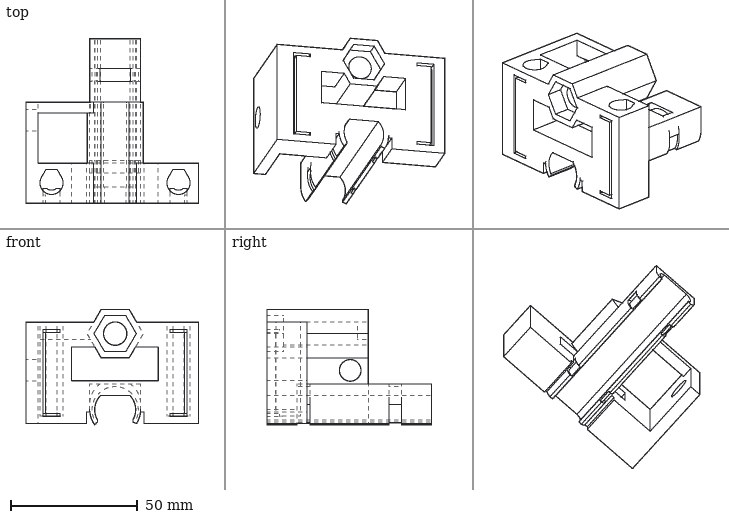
import cadquery as cq
import math

BODY_WIDTH = 68.0
BODY_DEPTH = 40.0
BODY_HEIGHT = 40.0
FRONT_DEPTH = 15.9
SIDE_WALL = 4.8
BACK_BAR_DEPTH = 4.35
BACK_BAR_HEIGHT = 6.8
CENTER_X = 35.2

WINDOW_LEFT = 18.0
WINDOW_WIDTH = 34.1
WINDOW_BOTTOM = 17.0
WINDOW_HEIGHT = 13.1

BARREL_Z = 35.5
BARREL_RADIUS = 11.1
NUT_RADIUS = 8.4
NUT_HALF_HEIGHT = 7.1
NUT_DEPTH = 6.5
BOLT_RADIUS = 4.55

CLIP_LENGTH = 65.0
CLIP_TOP = 15.65
CLIP_Z = 5.5
CLIP_RADIUS = 10.1
TUBE_RADIUS = 8.0
TUBE_FLAT_Z = 11.0
RELIEF_HALF_WIDTH = 11.3
RELIEF_HEIGHT = 4.55

LIP_GAP_HALF = 6.95
LEFT_LIP_Z = 0.7
RIGHT_LIP_Z = 0.6
RIGHT_LIP_DROP = 0.4

GROOVE_WIDTH = 5.05
GROOVE_STARTS = (12.0, 48.1)
GROOVE_CORE_RADIUS = 9.1
GROOVE_ARCH_Z = 7.6

WELL_SPACING = 50.1
WELL_X = 10.1
WELL_Y = 8.1
WELL_RADIUS = 4.55
WELL_FLAT_OFFSET = 5.25
WELL_TANGENT_ANGLE = math.radians(30)
WELL_FLOOR = 3.0
SLIT_HALF_WIDTH = 3.4
SLIT_HEIGHT = 1.1
SLIT_DEPTH = 6.0
SLIT_CORE_RADIUS = 2.85
SLIT_BOTTOM = 2.9
SLIT_TOP = 37.1
SIDE_SLIT_DEPTH = 3.4

CROSS_HOLE_Y = 32.85
CROSS_HOLE_Z = 21.0
CROSS_HOLE_RADIUS = 4.2


def block(x0, x1, y0, y1, z0, z1):
    return cq.Workplane("XY").box(x1 - x0, y1 - y0, z1 - z0, centered=False).translate((x0, y0, z0))


def front_plane(y=0, x=0, z=0):
    """Workplane facing the front; extruding by a negative length runs toward +Y."""
    return cq.Workplane("XZ", origin=(x, y, z))


def rod(radius, y0, y1, z):
    return front_plane(y0, CENTER_X, z).circle(radius).extrude(y0 - y1)


def body_frame():
    front = block(0, BODY_WIDTH, 0, FRONT_DEPTH, 0, BODY_HEIGHT)
    side = block(0, SIDE_WALL, 0, BODY_DEPTH, 0, BODY_HEIGHT)
    bar = block(
        0, CENTER_X, BODY_DEPTH - BACK_BAR_DEPTH, BODY_DEPTH, BODY_HEIGHT - BACK_BAR_HEIGHT, BODY_HEIGHT
    )
    window = block(
        WINDOW_LEFT, WINDOW_LEFT + WINDOW_WIDTH, 0, FRONT_DEPTH, WINDOW_BOTTOM, WINDOW_BOTTOM + WINDOW_HEIGHT
    )
    return front.cut(window).union(side).union(bar)


def barrel():
    return front_plane(0, CENTER_X, BARREL_Z).polygon(6, 2 * BARREL_RADIUS).extrude(-BODY_DEPTH)


def barrel_bore():
    half_flat = NUT_RADIUS / 2
    corners = [
        (NUT_RADIUS, 0), (half_flat, NUT_HALF_HEIGHT), (-half_flat, NUT_HALF_HEIGHT),
        (-NUT_RADIUS, 0), (-half_flat, -NUT_HALF_HEIGHT), (half_flat, -NUT_HALF_HEIGHT),
    ]
    nut = front_plane(0, CENTER_X, BARREL_Z).polyline(corners).close().extrude(-NUT_DEPTH)
    return nut.union(rod(BOLT_RADIUS, 0, BODY_DEPTH, BARREL_Z))


def clip_bar():
    """Round-bottomed bar that becomes the clip once the tube channel is cut."""
    upper = block(CENTER_X - CLIP_RADIUS, CENTER_X + CLIP_RADIUS, 0, CLIP_LENGTH, CLIP_Z, CLIP_TOP)
    return upper.union(rod(CLIP_RADIUS, 0, CLIP_LENGTH, CLIP_Z))


def clip_relief():
    """Space below the front block: clearance for the lips, plus the seat of the round bar."""
    outer = block(
        CENTER_X - RELIEF_HALF_WIDTH, CENTER_X + RELIEF_HALF_WIDTH, 0, FRONT_DEPTH, 0, RELIEF_HEIGHT
    )
    seat = block(CENTER_X - CLIP_RADIUS, CENTER_X + CLIP_RADIUS, 0, FRONT_DEPTH, 0, CLIP_Z)
    return outer.union(seat)


def tube_channel():
    channel = rod(TUBE_RADIUS, 0, CLIP_LENGTH, CLIP_Z)
    roof = block(
        CENTER_X - TUBE_RADIUS, CENTER_X + TUBE_RADIUS, 0, CLIP_LENGTH, TUBE_FLAT_Z, CLIP_Z + TUBE_RADIUS
    )
    below = CLIP_Z - CLIP_RADIUS
    left_run = LEFT_LIP_Z - below
    right_run = CLIP_RADIUS - LIP_GAP_HALF
    mouth = (
        front_plane(0, CENTER_X)
        .polyline([
            (-LIP_GAP_HALF, CLIP_Z),
            (-LIP_GAP_HALF, LEFT_LIP_Z),
            (-LIP_GAP_HALF - left_run, below),
            (CLIP_RADIUS, below),
            (CLIP_RADIUS, RIGHT_LIP_Z - RIGHT_LIP_DROP * right_run),
            (LIP_GAP_HALF, RIGHT_LIP_Z),
            (LIP_GAP_HALF, CLIP_Z),
        ])
        .close()
        .extrude(-CLIP_LENGTH)
    )
    return channel.cut(roof).union(mouth)


def tie_groove(y0):
    """Belt-shaped groove over the clip: an arch above straight sides, around a round core."""
    y1 = y0 + GROOVE_WIDTH
    below = CLIP_Z - CLIP_RADIUS
    rise = CLIP_TOP - GROOVE_ARCH_Z
    top_half = math.sqrt(CLIP_RADIUS**2 - rise**2)
    outline = (
        front_plane(y0, CENTER_X)
        .moveTo(-CLIP_RADIUS, below)
        .lineTo(CLIP_RADIUS, below)
        .lineTo(CLIP_RADIUS, GROOVE_ARCH_Z)
        .radiusArc((top_half, CLIP_TOP), -CLIP_RADIUS)
        .lineTo(-top_half, CLIP_TOP)
        .radiusArc((-CLIP_RADIUS, GROOVE_ARCH_Z), -CLIP_RADIUS)
        .close()
        .extrude(-GROOVE_WIDTH)
    )
    return outline.cut(rod(GROOVE_CORE_RADIUS, y0, y1, CLIP_Z))


def teardrop_well(x):
    tangent_x = WELL_RADIUS * math.cos(WELL_TANGENT_ANGLE)
    tangent_y = WELL_RADIUS * math.sin(WELL_TANGENT_ANGLE)
    tip_half = (WELL_RADIUS - WELL_FLAT_OFFSET * math.sin(WELL_TANGENT_ANGLE)) / math.cos(WELL_TANGENT_ANGLE)
    return (
        cq.Workplane("XY", origin=(x, WELL_Y, WELL_FLOOR))
        .moveTo(tangent_x, tangent_y)
        .lineTo(tip_half, WELL_FLAT_OFFSET)
        .lineTo(-tip_half, WELL_FLAT_OFFSET)
        .lineTo(-tangent_x, tangent_y)
        .threePointArc((0, -WELL_RADIUS), (tangent_x, tangent_y))
        .close()
        .extrude(BODY_HEIGHT - WELL_FLOOR)
    )


def well_slits(x, side):
    """Two level slits into the well, joined by an upright slit on the outer side (-1 left, 1 right)."""
    core = cq.Workplane("XY", origin=(x, WELL_Y, 0)).circle(SLIT_CORE_RADIUS).extrude(BODY_HEIGHT)
    edge = x + side * SLIT_HALF_WIDTH
    inner = edge - side * SLIT_HEIGHT
    slits = block(min(edge, inner), max(edge, inner), 0, SIDE_SLIT_DEPTH, SLIT_BOTTOM, SLIT_TOP)
    for z in (SLIT_BOTTOM, SLIT_TOP - SLIT_HEIGHT):
        level = block(x - SLIT_HALF_WIDTH, x + SLIT_HALF_WIDTH, 0, SLIT_DEPTH, z, z + SLIT_HEIGHT)
        slits = slits.union(level.cut(core))
    return slits


def cross_hole():
    wall_face = cq.Workplane("YZ", origin=(0, CROSS_HOLE_Y, CROSS_HOLE_Z))
    return wall_face.circle(CROSS_HOLE_RADIUS).extrude(SIDE_WALL)


result = body_frame().cut(clip_relief()).union(clip_bar()).union(barrel())
result = result.cut(barrel_bore()).cut(tube_channel()).cut(cross_hole())
for groove_start in GROOVE_STARTS:
    result = result.cut(tie_groove(groove_start))
for well_x, outer_side in ((WELL_X, -1), (WELL_X + WELL_SPACING, 1)):
    result = result.cut(teardrop_well(well_x)).cut(well_slits(well_x, outer_side))